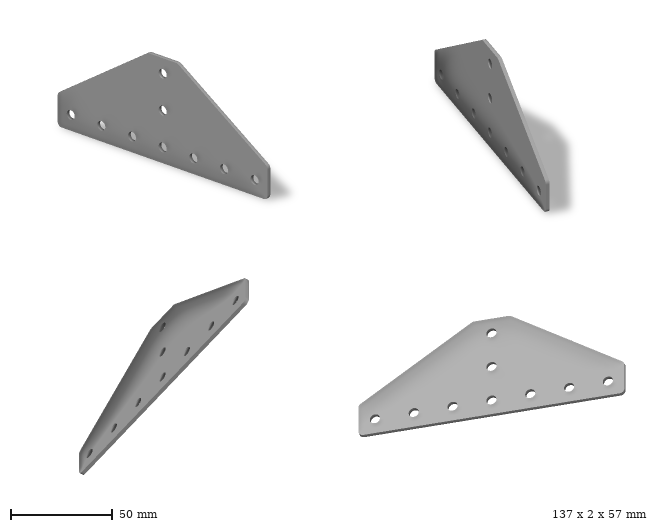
import cadquery as cq

width = 137.0
height = 57.0
thickness = 2.0
top_width = 19.2
side_height = 18.1
corner_radius = 2.5

hole_diameter = 5.2
hole_pitch = 20.0
edge_distance = 8.5
row_count = 7
column_count = 3


def make_plate():
    """Gusset-shaped plate standing on the XY plane, with all corners rounded."""
    half_width = width / 2
    half_top = top_width / 2
    outline = [
        (-half_width, 0),
        (half_width, 0),
        (half_width, side_height),
        (half_top, height),
        (-half_top, height),
        (-half_width, side_height),
    ]
    return (
        cq.Workplane("XZ")
        .polyline(outline)
        .close()
        .extrude(thickness / 2, both=True)
        .edges("|Y")
        .fillet(corner_radius)
    )


def hole_centres():
    """Centres in X and Z of the T-shaped hole pattern."""
    middle = (row_count - 1) / 2
    row = [((i - middle) * hole_pitch, edge_distance) for i in range(row_count)]
    column = [(0, edge_distance + i * hole_pitch) for i in range(1, column_count)]
    return row + column


def make_hole_cutters():
    """Cylinders passing through the full plate thickness."""
    return (
        cq.Workplane("XZ")
        .pushPoints(hole_centres())
        .circle(hole_diameter / 2)
        .extrude(thickness, both=True)
    )


result = make_plate().cut(make_hole_cutters())